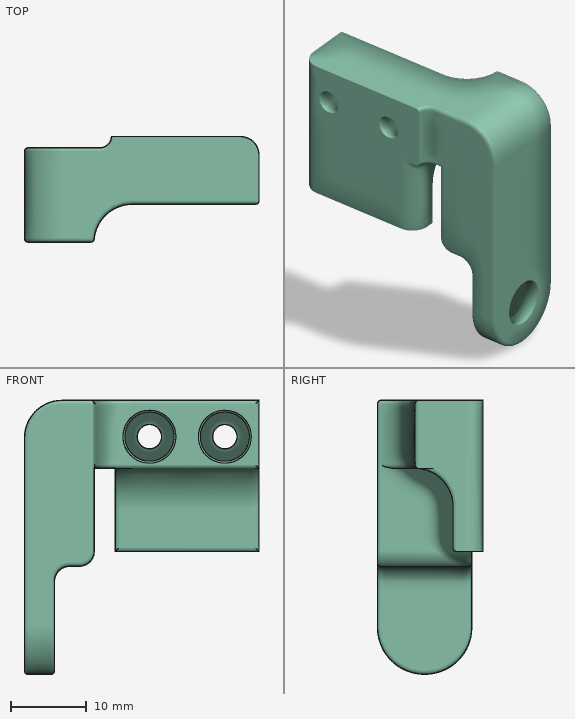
import cadquery as cq

length_x = 31.0
height = 36.23
depth_y = 14.0

leg_depth = 12.5
leg_width = 9.25
tab_width = 4.0
step_z = 14.27
step_radius = 2.0
top_radius = 5.0
tab_radius = leg_depth / 2
socket_diameter = 6.3
socket_depth = 2.0

arm_bottom = 27.2
arm_front = 5.0
arm_end_radius = 2.5
back_step_radius = depth_y - leg_depth
back_step_x = 10.0

flap_left = 12.0
flap_bottom = 16.23
flap_thickness = 4.0
flap_front = depth_y - flap_thickness
flap_fillet = flap_front - arm_front

hole_xs = (16.52, 26.5)
hole_z = 31.4
hole_diameter = 3.2
counterbore_diameter = 6.5
counterbore_depth = 6.0
counterbore_chamfer = 0.25

edge_round = 0.5
overlap = 1.1


def near(point):
    """Selector for the edge whose middle lies closest to a point."""
    return cq.selectors.NearestToPointSelector(point)


def rounded(body, points):
    """Round the edges lying closest to the given points."""
    edges = [body.edges(near(point)).val() for point in points]
    return body.newObject(edges).fillet(edge_round)


def make_leg():
    """Stepped upright with a round lower end."""
    side = (
        cq.Workplane("XZ")
        .moveTo(0, 0)
        .lineTo(tab_width, 0)
        .lineTo(tab_width, step_z - step_radius)
        .tangentArcPoint((tab_width + step_radius, step_z), relative=False)
        .lineTo(leg_width - step_radius, step_z)
        .tangentArcPoint((leg_width, step_z + step_radius), relative=False)
        .lineTo(leg_width, height)
        .lineTo(top_radius, height)
        .tangentArcPoint((0, height - top_radius), relative=False)
        .close()
        .extrude(-leg_depth)
    )
    outline = (
        cq.Workplane("YZ")
        .moveTo(leg_depth, height)
        .lineTo(leg_depth, tab_radius)
        .threePointArc((tab_radius, 0), (0, tab_radius))
        .lineTo(0, height)
        .close()
        .extrude(leg_width)
    )
    middle_z = (tab_radius + height - top_radius) / 2
    return rounded(side.intersect(outline), [
        (0, 0, middle_z),
        (0, leg_depth, middle_z),
        (leg_width, leg_depth / 2, height),
        (leg_width, 0, (step_z + step_radius + height) / 2),
    ])


def make_arm():
    """Arm with hollow curves where it meets the front and back of the leg.

    Its root lies inside the leg, starting behind the rounded front edge.
    """
    root_end = leg_width + arm_front
    root_left = leg_width - overlap
    back_step_end = back_step_x + back_step_radius
    arm = (
        cq.Workplane("XY", origin=(0, 0, arm_bottom))
        .moveTo(length_x, depth_y)
        .lineTo(length_x, arm_front)
        .lineTo(root_end, arm_front)
        .tangentArcPoint((leg_width, edge_round), relative=False)
        .lineTo(root_left, edge_round)
        .lineTo(root_left, leg_depth)
        .lineTo(back_step_x, leg_depth)
        .tangentArcPoint((back_step_end, depth_y), relative=False)
        .close()
        .extrude(height - arm_bottom)
    )
    arm = arm.edges(near((length_x, depth_y, (arm_bottom + height) / 2))).fillet(arm_end_radius)
    front_middle_x = (root_end + length_x) / 2
    return rounded(arm, [
        (front_middle_x, arm_front, height),
        (front_middle_x, arm_front, arm_bottom),
        (length_x, arm_front, (arm_bottom + height) / 2),
        ((root_left + back_step_x) / 2, leg_depth, height),
        ((root_left + back_step_x) / 2, leg_depth, arm_bottom),
    ])


def make_flap():
    """Plate under the back of the arm, blended into it by a hollow curve."""
    blend_start = arm_bottom - flap_fillet
    flap = (
        cq.Workplane("YZ", origin=(flap_left, 0, 0))
        .moveTo(depth_y, flap_bottom)
        .lineTo(flap_front, flap_bottom)
        .lineTo(flap_front, blend_start)
        .tangentArcPoint((arm_front + edge_round, arm_bottom), relative=False)
        .lineTo(arm_front + edge_round, arm_bottom + overlap)
        .lineTo(depth_y, arm_bottom + overlap)
        .close()
        .extrude(length_x - flap_left)
    )
    for x in (flap_left, length_x):
        flap = flap.edges(near((x, depth_y, blend_start))).fillet(arm_end_radius)
    middle_z = (flap_bottom + blend_start) / 2
    return rounded(flap, [
        (flap_left, flap_front, middle_z),
        (length_x, flap_front, middle_z),
        ((flap_left + length_x) / 2, flap_front, flap_bottom),
    ])


def make_hole(x):
    """Stepped screw hole with a bevelled mouth, entering from the arm front."""
    front = cq.Workplane("XZ", origin=(x, 0, hole_z))
    shaft = front.circle(hole_diameter / 2).extrude(-depth_y)
    bore = front.circle(counterbore_diameter / 2).extrude(-(arm_front + counterbore_depth))
    mouth_diameter = counterbore_diameter + 2 * counterbore_chamfer
    mouth = (
        cq.Workplane("XZ", origin=(x, arm_front + counterbore_chamfer, hole_z))
        .circle(counterbore_diameter / 2)
        .workplane(offset=counterbore_chamfer)
        .circle(mouth_diameter / 2)
        .loft()
    )
    entry = front.circle(mouth_diameter / 2).extrude(-arm_front)
    return shaft.union(bore).union(mouth).union(entry)


result = make_leg().union(make_arm()).union(make_flap())
for hole_x in hole_xs:
    result = result.cut(make_hole(hole_x))

socket = (
    cq.Workplane("YZ", origin=(0, tab_radius, tab_radius))
    .circle(socket_diameter / 2)
    .extrude(socket_depth)
)
result = result.cut(socket)